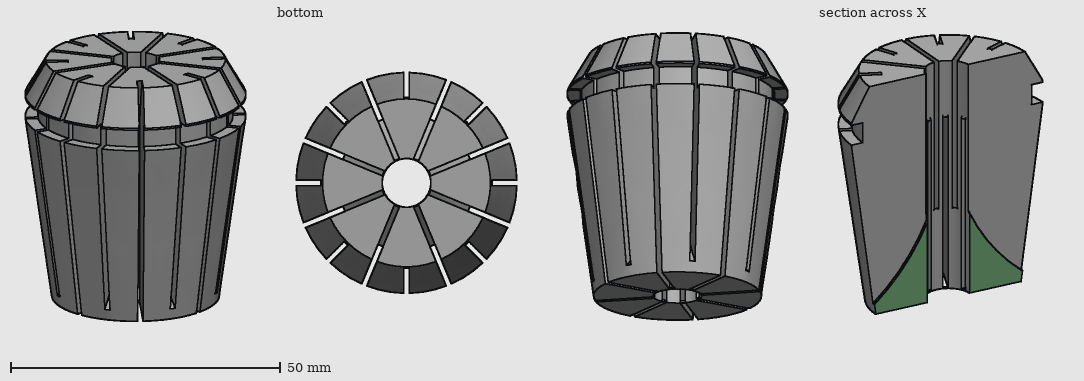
import cadquery as cq
import math

height = 46.0
max_radius = 20.5
bore_radius = 4.5

taper_height = 35.0
taper_half_angle = 8.0
bottom_radius = max_radius - taper_height * math.tan(math.radians(taper_half_angle))

neck_radius = 18.1
neck_width = 4.0
nose_bottom = taper_height + neck_width
nose_lip_height = 0.35
nose_half_angle = 30.0
nose_cone_height = height - nose_bottom - nose_lip_height
top_radius = max_radius - nose_cone_height * math.tan(math.radians(nose_half_angle))

slot_width = 1.0
saw_radius = 40.0
saw_axis_radius = 40.65
nose_slot_saw_height = 33.5
tail_slot_saw_height = 17.5
slots_per_set = 8
slot_pitch = 360.0 / slots_per_set


def collet_blank():
    """Turned body: bore, taper, neck and nose revolved about Z."""
    profile = [
        (bore_radius, 0),
        (bottom_radius, 0),
        (max_radius, taper_height),
        (neck_radius, taper_height),
        (neck_radius, nose_bottom),
        (max_radius, nose_bottom),
        (max_radius, nose_bottom + nose_lip_height),
        (top_radius, height),
        (bore_radius, height),
    ]
    return cq.Workplane("XZ").polyline(profile).close().revolve(360, (0, 0, 0), (0, 1, 0))


def saw_disc(axis_height, angle):
    """Saw standing in the radial plane at the given angle about Z."""
    disc = (
        cq.Workplane("XZ")
        .center(saw_axis_radius, axis_height)
        .circle(saw_radius)
        .extrude(slot_width / 2, both=True)
    )
    return disc.rotate((0, 0, 0), (0, 0, 1), angle)


result = collet_blank()
for index in range(slots_per_set):
    result = result.cut(saw_disc(nose_slot_saw_height, index * slot_pitch))
    result = result.cut(saw_disc(tail_slot_saw_height, (index + 0.5) * slot_pitch))